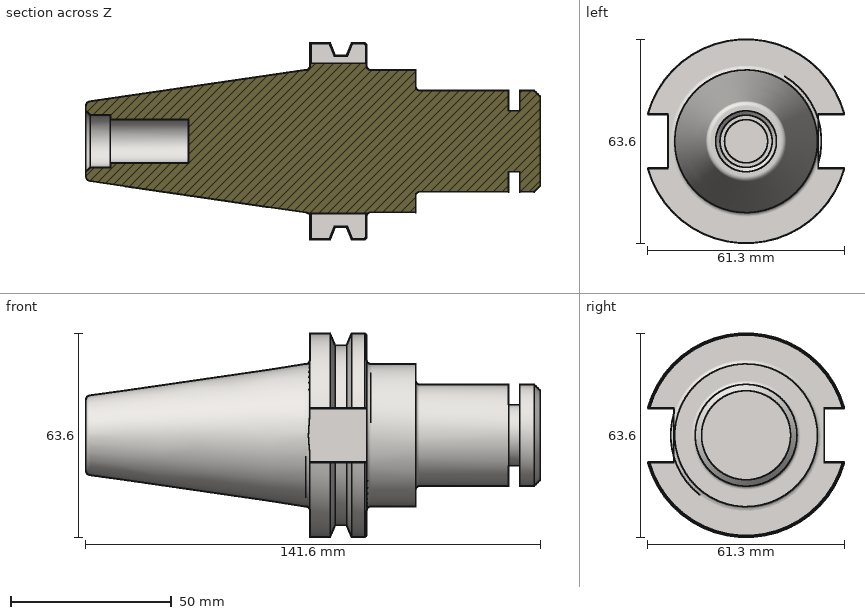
import cadquery as cq
import math


taper_length = 68.3
taper_ratio = 7 / 24
gauge_diameter = 44.5
shank_end_fillet = 1.5

flange_diameter = 63.6
flange_start = 69.8
flange_end = 87.5
flange_chamfer = 0.5

groove_center = 79.5
groove_floor_width = 3.5
groove_floor_diameter = 56.2
groove_wall_angle = 23

slot_width = 16.4
slot_edge_chamfer = 0.35
slot_floor_front = 22.5
slot_floor_back = 24.4

collar_end = 102.8
root_fillet = 1.3

overall_length = 141.6
pin_diameter = 31.7
pin_root_fillet = 1.1
pin_end_chamfer = 2.0
neck_start = 131.7
neck_end = 135.1
neck_diameter = 19.1

bore_mouth_diameter = 19.0
bore_mouth_depth = 1.4
bore_diameter = 16.3
bore_depth = 7.6
inner_bore_diameter = 13.5
inner_bore_depth = 32.0

gauge_radius = gauge_diameter / 2
flange_radius = flange_diameter / 2
pin_radius = pin_diameter / 2


def cylinder(diameter, start, end):
    """Solid cylinder on the X axis."""
    return cq.Workplane("YZ").workplane(offset=start).circle(diameter / 2).extrude(end - start)


def revolve_about_x(outline):
    """Turn a closed XY outline about the X axis."""
    return outline.close().revolve(360, (0, 0, 0), (1, 0, 0))


def make_shank():
    end_radius = gauge_radius - taper_length * taper_ratio / 2
    outline = (
        cq.Workplane("XY")
        .lineTo(0, end_radius)
        .lineTo(taper_length, gauge_radius)
        .lineTo(taper_length, 0)
    )
    return revolve_about_x(outline).faces("<X").edges().fillet(shank_end_fillet)


def make_flange():
    blank = cylinder(flange_diameter, flange_start, flange_end)
    blank = blank.faces(">X").edges().chamfer(flange_chamfer)
    floor_radius = groove_floor_diameter / 2
    half_floor = groove_floor_width / 2
    wall_run = (flange_radius - floor_radius) * math.tan(math.radians(groove_wall_angle))
    half_top = half_floor + wall_run
    groove = (
        cq.Workplane("XY")
        .moveTo(groove_center - half_top, flange_radius)
        .lineTo(groove_center - half_floor, floor_radius)
        .lineTo(groove_center + half_floor, floor_radius)
        .lineTo(groove_center + half_top, flange_radius)
    )
    flange = blank.cut(revolve_about_x(groove)).cut(make_drive_slots())
    return flange.newObject(slot_wall_rims(flange)).chamfer(slot_edge_chamfer)


def slot_wall_rims(flange):
    """Outer edges of the slot walls, leaving out the inside corners at the slot floors."""
    floors = (-slot_floor_front, slot_floor_back)
    walls = [
        face
        for face in flange.faces("|Z").vals()
        if math.isclose(abs(face.Center().z), slot_width / 2)
    ]
    return [
        edge
        for wall in walls
        for edge in wall.Edges()
        if not any(math.isclose(edge.Center().y, floor) for floor in floors)
    ]


def make_root(face, direction, radius, fillet):
    """Concave ring between a shoulder face and a cylinder running off in +X or -X."""
    tip = face + direction * fillet
    sag = fillet * (1 - math.sqrt(0.5))
    outline = (
        cq.Workplane("XY")
        .moveTo(face, 0)
        .lineTo(face, radius + fillet)
        .threePointArc((face + direction * sag, radius + sag), (tip, radius))
        .lineTo(tip, 0)
    )
    return revolve_about_x(outline)


def make_collar():
    return (
        cylinder(gauge_diameter, taper_length, collar_end)
        .union(make_root(flange_end, 1, gauge_radius, root_fillet))
        .union(make_root(flange_start, -1, gauge_radius, root_fillet))
    )


def make_pin():
    pin = cylinder(pin_diameter, collar_end, overall_length)
    pin = pin.faces(">X").edges().chamfer(pin_end_chamfer)
    neck_cut = cylinder(pin_diameter, neck_start, neck_end).cut(
        cylinder(neck_diameter, neck_start, neck_end)
    )
    return pin.cut(neck_cut).union(make_root(collar_end, 1, pin_radius, pin_root_fillet))


def make_drive_slot(side, floor_distance):
    """Cutter for the slot on the +Y (side 1) or -Y (side -1) side."""
    start = flange_start - root_fillet
    depth = flange_radius - floor_distance
    return cq.Workplane("XY").box(flange_end - start, depth, slot_width).translate(
        ((start + flange_end) / 2, side * (floor_distance + depth / 2), 0)
    )


def make_drive_slots():
    return make_drive_slot(-1, slot_floor_front).add(make_drive_slot(1, slot_floor_back)).combine()


def make_bore():
    outline = (
        cq.Workplane("XY")
        .lineTo(0, bore_mouth_diameter / 2)
        .lineTo(bore_mouth_depth, bore_diameter / 2)
        .lineTo(bore_depth, bore_diameter / 2)
        .lineTo(bore_depth, inner_bore_diameter / 2)
        .lineTo(inner_bore_depth, inner_bore_diameter / 2)
        .lineTo(inner_bore_depth, 0)
    )
    return revolve_about_x(outline)


result = (
    make_shank()
    .union(make_flange())
    .union(make_collar())
    .union(make_pin())
    .cut(make_drive_slots())
    .cut(make_bore())
)